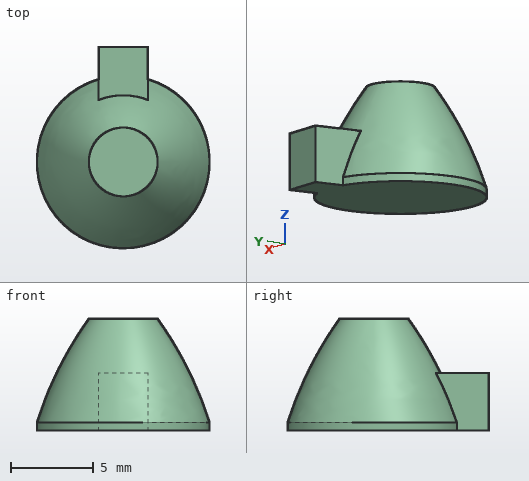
import cadquery as cq

base_radius = 5.25
rim_height = 0.5
top_radius = 2.1
body_height = 6.8
flank_radius = 4.05

tab_width = 3.0
tab_height = 3.5
overall_length = 12.25
tab_end = overall_length - base_radius


def make_body():
    """Revolve a short straight rim and an arched flank up to a flat top."""
    return (
        cq.Workplane("XZ")
        .lineTo(base_radius, 0)
        .lineTo(base_radius, rim_height)
        .threePointArc((flank_radius, tab_height), (top_radius, body_height))
        .lineTo(0, body_height)
        .close()
        .revolve(360, (0, 0), (0, 1))
    )


def make_tab():
    """Block running from the body axis out to the tab end."""
    return cq.Workplane("XY").box(tab_width, tab_end, tab_height, centered=(True, False, False))


result = make_body().union(make_tab())